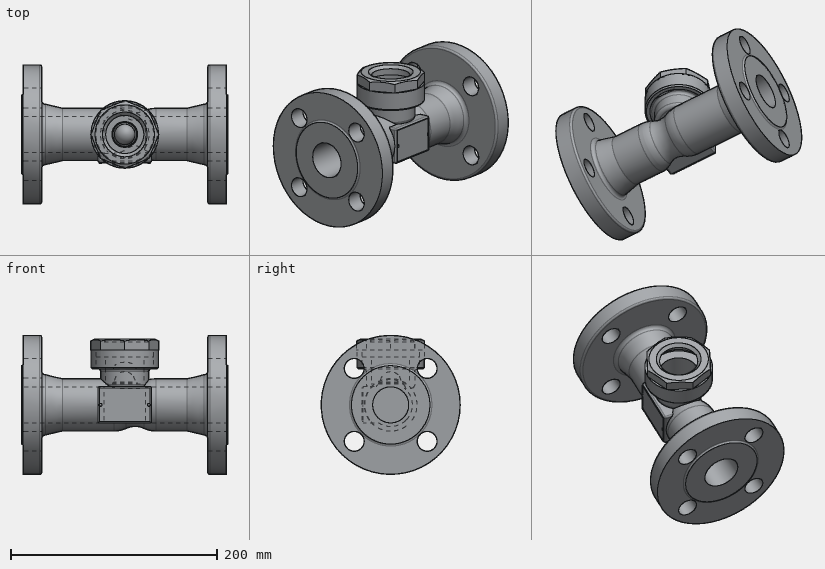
import cadquery as cq
import math

LENGTH = 200.0
PIPE_RADIUS = 51.0 / 2
BORE_DIAMETER = 35.0
BORE_DEPTH = 80.0

FLANGE_RADIUS = 135.0 / 2
FLANGE_THICKNESS = 18.0
FLANGE_EDGE_FILLET = 2.0
RAISED_FACE_HEIGHT = 1.5
RAISED_FACE_FOOT_RADIUS = 40.0
RAISED_FACE_FILLET = 2.0
BOLT_CIRCLE_DIAMETER = 100.0
BOLT_HOLE_DIAMETER = 19.0
BOLT_HOLE_COUNT = 4

HUB_RADIUS = 29.5
HUB_START = 60.5
HUB_FILLET = 3.5

WAIST_RADIUS = 21.0
WAIST_CENTER = 10.0
WAIST_HALF_LENGTH = 20.5
WAIST_SHOULDER_LENGTH = 11.5

NECK_RADIUS = 47.0 / 2
NECK_BOTTOM = 16.0
NECK_BOTTOM_FILLET = 4.0
HEAD_RADIUS = 56.0 / 2
HEAD_TOP = 46.5
HEAD_FILLET = 2.8
WELL_DIAMETER = 37.0
WELL_FLOOR = 20.5

DOME_RADIUS = 10.0
DOME_FOOT_RADIUS = 23.0 / 2
DOME_FOOT_HEIGHT = 0.8
BASE_RADIUS = 25.0 / 2
BASE_HEIGHT = 1.0

PAD_LENGTH = 52.0
PAD_WIDTH = 35.5
PAD_FRONT = 27.0
PAD_FILLET = 1.5
PLATE_THICKNESS = 0.8
STUD_RADIUS = 1.5
STUD_RISE = 0.5
STUD_SPACING = 46.8

NUT_RADIUS = 32.8
NUT_BOTTOM = 35.0
NUT_TOP = 64.0
OCTAGON_SIDES = 8
OCTAGON_CORNER_RADIUS = 33.0
OCTAGON_BOTTOM = 53.5
NUT_TOP_RADIUS = 28.8
NUT_TOP_CHAMFER = 2.0
NUT_BOTTOM_CHAMFER = 1.5
MOUTH_RADIUS = 43.5 / 2
MOUTH_DEPTH = 3.0
WINDOW_RADIUS = WELL_DIAMETER / 2
WINDOW_SEAT_RADIUS = 47.0 / 2
WINDOW_SEAT_BOTTOM = 53.0


def fillet_point(center_x, center_y, radius, angle):
    """Point of a fillet circle at an angle in degrees."""
    turn = math.radians(angle)
    return center_x + radius * math.cos(turn), center_y + radius * math.sin(turn)


def make_flange_blank():
    """Flange and hub on the -X end, turned about the X axis."""
    end = -LENGTH / 2
    face = end + RAISED_FACE_HEIGHT
    back = face + FLANGE_THICKNESS
    rim_start = back - FLANGE_EDGE_FILLET
    rim_radius = FLANGE_RADIUS - FLANGE_EDGE_FILLET
    foot_center = face - RAISED_FACE_FILLET
    foot_turn = math.degrees(math.acos((end - foot_center) / RAISED_FACE_FILLET))
    foot_start = fillet_point(foot_center, RAISED_FACE_FOOT_RADIUS, RAISED_FACE_FILLET, -foot_turn)
    foot_middle = fillet_point(foot_center, RAISED_FACE_FOOT_RADIUS, RAISED_FACE_FILLET, -foot_turn / 2)
    return (
        cq.Workplane("XY")
        .moveTo(end, 0)
        .lineTo(*foot_start)
        .threePointArc(foot_middle, (face, RAISED_FACE_FOOT_RADIUS))
        .lineTo(face, FLANGE_RADIUS)
        .lineTo(rim_start, FLANGE_RADIUS)
        .threePointArc(
            fillet_point(rim_start, rim_radius, FLANGE_EDGE_FILLET, 45),
            (back, rim_radius),
        )
        .lineTo(back, HUB_RADIUS + HUB_FILLET)
        .threePointArc(
            fillet_point(back + HUB_FILLET, HUB_RADIUS + HUB_FILLET, HUB_FILLET, 225),
            (back + HUB_FILLET, HUB_RADIUS),
        )
        .lineTo(-HUB_START, PIPE_RADIUS)
        .lineTo(-HUB_START, 0)
        .close()
        .revolve(360, (0, 0, 0), (1, 0, 0))
    )


def make_pipe():
    """Pipe between the hubs, drawn in smoothly to a waist by pairs of tangent arcs."""
    waist_start = WAIST_CENTER - WAIST_HALF_LENGTH
    waist_end = WAIST_CENTER + WAIST_HALF_LENGTH
    shoulder_drop = (PIPE_RADIUS - WAIST_RADIUS) * WAIST_SHOULDER_LENGTH / WAIST_HALF_LENGTH
    shoulder_radius = PIPE_RADIUS - shoulder_drop
    return (
        cq.Workplane("XY")
        .moveTo(-HUB_START, 0)
        .lineTo(-HUB_START, PIPE_RADIUS)
        .lineTo(waist_start, PIPE_RADIUS)
        .tangentArcPoint((waist_start + WAIST_SHOULDER_LENGTH, shoulder_radius), relative=False)
        .tangentArcPoint((WAIST_CENTER, WAIST_RADIUS), relative=False)
        .tangentArcPoint((waist_end - WAIST_SHOULDER_LENGTH, shoulder_radius), relative=False)
        .tangentArcPoint((waist_end, PIPE_RADIUS), relative=False)
        .lineTo(HUB_START, PIPE_RADIUS)
        .lineTo(HUB_START, 0)
        .close()
        .revolve(360, (0, 0, 0), (1, 0, 0))
    )


def make_neck():
    """Neck and head, turned about the Z axis."""
    bottom_radius = NECK_RADIUS - NECK_BOTTOM_FILLET
    wall_start = NECK_BOTTOM + NECK_BOTTOM_FILLET
    flare_start = NUT_BOTTOM - HEAD_FILLET
    return (
        cq.Workplane("XZ")
        .moveTo(0, NECK_BOTTOM)
        .lineTo(bottom_radius, NECK_BOTTOM)
        .threePointArc(
            fillet_point(bottom_radius, wall_start, NECK_BOTTOM_FILLET, -45),
            (NECK_RADIUS, wall_start),
        )
        .lineTo(NECK_RADIUS, flare_start)
        .threePointArc(
            fillet_point(NECK_RADIUS + HEAD_FILLET, flare_start, HEAD_FILLET, 135),
            (NECK_RADIUS + HEAD_FILLET, NUT_BOTTOM),
        )
        .lineTo(HEAD_RADIUS, NUT_BOTTOM)
        .lineTo(HEAD_RADIUS, HEAD_TOP)
        .lineTo(0, HEAD_TOP)
        .close()
        .revolve(360, (0, 0, 0), (0, 1, 0))
    )


def make_dome():
    """Dome with a conical foot on a low round base, turned about the Z axis."""
    base_top = WELL_FLOOR + BASE_HEIGHT
    dome_bottom = base_top + DOME_FOOT_HEIGHT
    return (
        cq.Workplane("XZ")
        .moveTo(0, WELL_FLOOR - BASE_HEIGHT)
        .lineTo(BASE_RADIUS, WELL_FLOOR - BASE_HEIGHT)
        .lineTo(BASE_RADIUS, base_top)
        .lineTo(DOME_FOOT_RADIUS, base_top)
        .lineTo(DOME_RADIUS, dome_bottom)
        .threePointArc(
            fillet_point(0, dome_bottom, DOME_RADIUS, 45),
            (0, dome_bottom + DOME_RADIUS),
        )
        .close()
        .revolve(360, (0, 0, 0), (0, 1, 0))
    )


def make_name_plate():
    """Rounded pad with a raised name plate that covers its flat front, and two domed studs."""
    pad = (
        cq.Workplane("XZ")
        .rect(PAD_LENGTH, PAD_WIDTH)
        .extrude(PAD_FRONT)
        .edges("|Y or <Y")
        .fillet(PAD_FILLET)
    )
    plate = (
        cq.Workplane("XZ", origin=(0, -PAD_FRONT, 0))
        .rect(PAD_LENGTH - 2 * PAD_FILLET, PAD_WIDTH - 2 * PAD_FILLET)
        .extrude(PLATE_THICKNESS)
    )
    studded_pad = pad.union(plate)
    plate_front = PAD_FRONT + PLATE_THICKNESS
    dome_radius = (STUD_RADIUS**2 + STUD_RISE**2) / (2 * STUD_RISE)
    dome_y = -(plate_front + STUD_RISE - dome_radius)
    for side in (-1, 1):
        stud_x = side * STUD_SPACING / 2
        stud = cq.Workplane("XZ", origin=(stud_x, -PAD_FRONT, 0)).circle(STUD_RADIUS).extrude(dome_radius)
        dome = cq.Workplane("XY").sphere(dome_radius).translate((stud_x, dome_y, 0))
        studded_pad = studded_pad.union(stud.intersect(dome))
    return studded_pad


def make_body():
    """Flanged pipe with its neck, name plate, bores and well."""
    flange = make_flange_blank()
    body = make_pipe().union(flange).union(flange.mirror("YZ"))
    body = body.union(make_neck()).union(make_name_plate())
    bolt_holes = (
        cq.Workplane("YZ", origin=(-LENGTH / 2, 0, 0))
        .polarArray(BOLT_CIRCLE_DIAMETER / 2, 45, 360, BOLT_HOLE_COUNT)
        .circle(BOLT_HOLE_DIAMETER / 2)
        .extrude(LENGTH)
    )
    bore = cq.Workplane("YZ", origin=(-LENGTH / 2, 0, 0)).circle(BORE_DIAMETER / 2).extrude(BORE_DEPTH)
    well = (
        cq.Workplane("XY", origin=(0, 0, WELL_FLOOR))
        .circle(WELL_DIAMETER / 2)
        .extrude(HEAD_TOP - WELL_FLOOR)
    )
    body = body.cut(bolt_holes).cut(bore).cut(bore.mirror("YZ")).cut(well)
    return body.union(make_dome())


def make_nut():
    """Round nut with an octagonal top, which holds the head in its lower bore."""
    collar = (
        cq.Workplane("XY", origin=(0, 0, NUT_BOTTOM))
        .circle(NUT_RADIUS)
        .extrude(OCTAGON_BOTTOM - NUT_BOTTOM)
        .faces("<Z")
        .edges()
        .chamfer(NUT_BOTTOM_CHAMFER)
    )
    octagon = (
        cq.Workplane("XY", origin=(0, 0, OCTAGON_BOTTOM))
        .polygon(OCTAGON_SIDES, 2 * OCTAGON_CORNER_RADIUS)
        .extrude(NUT_TOP - OCTAGON_BOTTOM)
    )
    corner_trim = (
        cq.Workplane("XZ")
        .moveTo(0, OCTAGON_BOTTOM)
        .lineTo(OCTAGON_CORNER_RADIUS, OCTAGON_BOTTOM)
        .lineTo(OCTAGON_CORNER_RADIUS, NUT_TOP - NUT_TOP_CHAMFER)
        .lineTo(NUT_TOP_RADIUS, NUT_TOP)
        .lineTo(0, NUT_TOP)
        .close()
        .revolve(360, (0, 0, 0), (0, 1, 0))
    )
    blank = collar.union(octagon.intersect(corner_trim))
    mouth_bottom = NUT_TOP - MOUTH_DEPTH
    opening = (
        cq.Workplane("XZ")
        .moveTo(0, NUT_BOTTOM)
        .lineTo(HEAD_RADIUS, NUT_BOTTOM)
        .lineTo(HEAD_RADIUS, WINDOW_SEAT_BOTTOM)
        .lineTo(WINDOW_SEAT_RADIUS, WINDOW_SEAT_BOTTOM)
        .lineTo(WINDOW_SEAT_RADIUS, mouth_bottom)
        .lineTo(WINDOW_RADIUS, mouth_bottom)
        .lineTo(MOUTH_RADIUS, NUT_TOP)
        .lineTo(0, NUT_TOP)
        .close()
        .revolve(360, (0, 0, 0), (0, 1, 0))
    )
    return blank.cut(opening)


body = make_body()
nut = make_nut()
result = cq.Compound.makeCompound([body.val(), nut.val()])